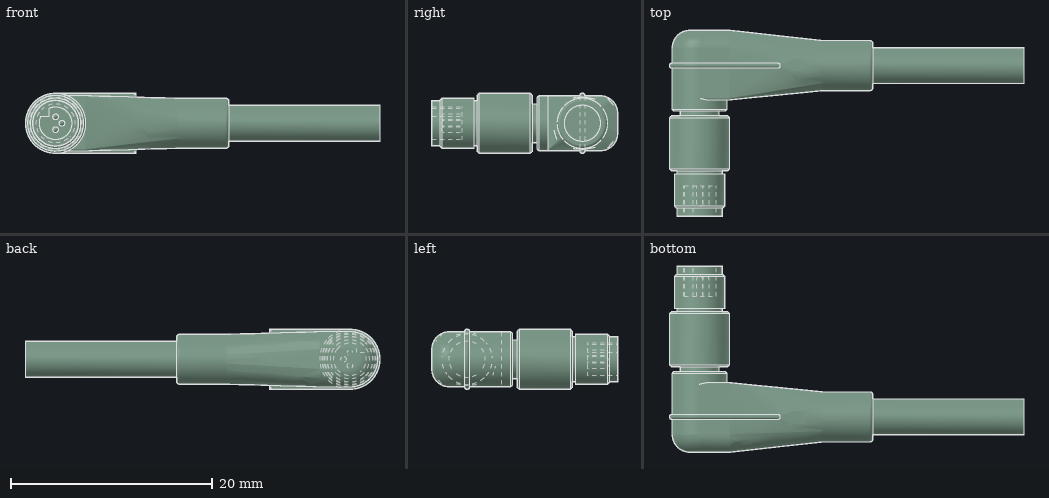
import cadquery as cq
import math


body_radius = 2.75
body_back = 3.52
body_front = -4.5
body_front_chamfer = 0.18
back_rounding = 1.75
block_end = 3.0
block_bottom = -3.42
bottom_rounding = 0.18

collar_radius = 2.5
collar_start = 12.23
collar_end = 17.25
collar_rounding = 0.3
cable_radius = 1.8
cable_end = 32.25
taper_angles = (80.0, 35.3, -45.0, -52.0)

rib_radius = 3.0
rib_width = 0.5
rib_end = 8.0
rib_rounding = 0.2

body_neck_radius = 1.95
sleeve_start = -4.97
sleeve_end = -10.47
sleeve_radius = 3.0
sleeve_chamfer = 0.2
plug_neck_radius = 2.25
plug_start = -10.75
plug_end = -14.17
plug_radius = 2.5
plug_chamfer = 0.2
tip_radius = 2.25
tip_end = -14.98

bore_radius = 1.62
bore_depth = 3.0
key_corner_x = -0.65
key_corner_z = 0.67
pin_radius = 0.28
pin_length = 2.0
pin_offset = 0.65
pin_places = [(0, pin_offset), (0, -pin_offset), (pin_offset, 0)]


def along_y(y):
    """Workplane across the plug axis whose local axes are +X and +Z and whose normal is -Y."""
    return cq.Workplane("XZ", origin=(0, y, 0))


def along_x(x):
    """Workplane across the cable axis whose local axes are +Y and +Z and whose normal is +X."""
    return cq.Workplane("YZ", origin=(x, 0, 0))


def plug_cylinder(start, end, radius):
    return along_y(start).circle(radius).extrude(start - end)


def elbow():
    round_body = plug_cylinder(body_back, body_front, body_radius)
    round_body = round_body.faces(">Y").edges().fillet(back_rounding)
    round_body = round_body.faces("<Y").edges().chamfer(body_front_chamfer)
    block_middle = (body_back + block_bottom) / 2
    block = (
        along_x(0)
        .center(block_middle, 0)
        .rect(body_back - block_bottom, 2 * body_radius)
        .extrude(block_end)
    )
    block = block.edges("|X and >Y").fillet(back_rounding)
    block = block.edges("|X and <Y").fillet(bottom_rounding)
    return round_body.union(block)


def symmetric_outline(x, points, bulges, top_bulge, bottom_bulge):
    """Closed wire at x. The (y, z) points run down the +Z half and are mirrored to the -Z half.

    A bulge of None gives a straight edge, any other bulge is the middle point of an arc.
    The top and bottom bulges belong to the two edges that cross the mirror plane.
    """

    def mirrored(place):
        return place and (place[0], -place[1])

    all_points = points + [mirrored(point) for point in reversed(points)]
    mirrored_bulges = [mirrored(bulge) for bulge in reversed(bulges)]
    all_bulges = bulges + [bottom_bulge] + mirrored_bulges + [top_bulge]
    vertices = [cq.Vector(x, *point) for point in all_points]
    edges = []
    for start, end, bulge in zip(vertices, vertices[1:] + vertices[:1], all_bulges):
        if bulge is None:
            edges.append(cq.Edge.makeLine(start, end))
        else:
            edges.append(cq.Edge.makeThreePointArc(start, cq.Vector(x, *bulge), end))
    return cq.Wire.assembleEdges(edges)


def block_outline():
    """Rounded rectangle at the end of the elbow block."""
    back_y = body_back - back_rounding
    back_z = body_radius - back_rounding
    bottom_y = block_bottom + bottom_rounding
    bottom_z = body_radius - bottom_rounding
    back_reach = back_rounding * math.sqrt(0.5)
    bottom_reach = bottom_rounding * math.sqrt(0.5)
    points = [
        (body_back, back_z),
        (back_y, body_radius),
        (bottom_y, body_radius),
        (block_bottom, bottom_z),
    ]
    bulges = [
        (back_y + back_reach, back_z + back_reach),
        None,
        (bottom_y - bottom_reach, bottom_z + bottom_reach),
    ]
    return symmetric_outline(block_end, points, bulges, None, None)


def collar_outline():
    """Collar circle, split into one arc for each edge of the block outline."""

    def on_circle(angle):
        turn = math.radians(angle)
        return (collar_radius * math.sin(turn), collar_radius * math.cos(turn))

    points = [on_circle(angle) for angle in taper_angles]
    bulges = [on_circle((a + b) / 2) for a, b in zip(taper_angles, taper_angles[1:])]
    return symmetric_outline(collar_start, points, bulges, (collar_radius, 0), (-collar_radius, 0))


def cable_outlet():
    taper = cq.Workplane(cq.Solid.makeLoft([block_outline(), collar_outline()], ruled=True))
    collar = along_x(collar_start).circle(collar_radius).extrude(collar_end - collar_start)
    collar = collar.faces(">X").edges().fillet(collar_rounding)
    cable = along_x(collar_start).circle(cable_radius).extrude(cable_end - collar_start)
    return taper.union(collar).union(cable)


def grip_rib():
    rib = (
        along_y(rib_width / 2)
        .moveTo(0, rib_radius)
        .threePointArc((-rib_radius, 0), (0, -rib_radius))
        .lineTo(rib_end, -rib_radius)
        .lineTo(rib_end, rib_radius)
        .close()
        .extrude(rib_width)
    )
    return rib.faces("<Y or >Y").edges().fillet(rib_rounding)


def plug():
    sleeve = plug_cylinder(sleeve_start, sleeve_end, sleeve_radius)
    sleeve = sleeve.faces("<Y or >Y").edges().chamfer(sleeve_chamfer)
    shell = plug_cylinder(plug_start, plug_end, plug_radius)
    shell = shell.faces("<Y").edges().chamfer(plug_chamfer)
    return (
        plug_cylinder(body_front, sleeve_start, body_neck_radius)
        .union(sleeve)
        .union(plug_cylinder(sleeve_end, plug_start, plug_neck_radius))
        .union(shell)
        .union(plug_cylinder(plug_end, tip_end, tip_radius))
    )


def socket():
    """Round bore with a coding key left standing in one quarter."""
    floor = tip_end + bore_depth
    bore = plug_cylinder(floor, tip_end, bore_radius)
    key = (
        along_y(floor)
        .moveTo(key_corner_x, key_corner_z)
        .rect(-bore_radius, bore_radius, centered=False)
        .extrude(bore_depth)
    )
    return bore.cut(key)


def pins():
    """Contact pins standing on the socket floor, each with a domed tip."""
    floor = tip_end + bore_depth
    shaft_length = pin_length - pin_radius
    shafts = along_y(floor).pushPoints(pin_places).circle(pin_radius).extrude(shaft_length)
    tips = along_y(floor - shaft_length).pushPoints(pin_places).sphere(pin_radius)
    return shafts.union(tips)


result = elbow().union(cable_outlet()).union(grip_rib()).union(plug()).cut(socket()).union(pins())